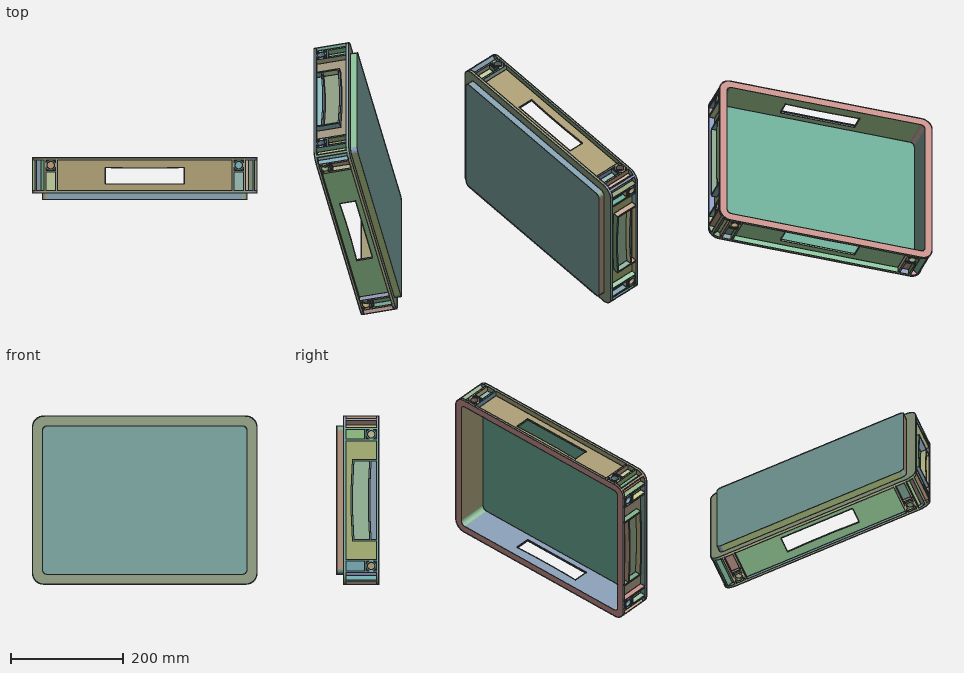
import cadquery as cq
import math

WIDTH = 399.0
HEIGHT = 299.0
BODY_DEPTH = 63.0
FOOT_DEPTH = 12.0
CORNER_RADIUS = 20.0

FOOT_INSET = 17.5
FOOT_RADIUS = 8.8

RIM_FLANGE = 4.0
FLOOR_FLANGE = 4.8
POCKET_END = BODY_DEPTH - FLOOR_FLANGE

POCKET_DEPTH = 10.5
CORE_RADIUS = 11.5
WALL = 3.0
DIAGONAL_RIB = 4.8

CELL_START = 24.0
CELL_END = 41.0
RIB = 3.0
SOCKET_END = 23.0
SOCKET_RIB = 2.5
SOCKET_BORE = 13.0
SOCKET_OUTER = 19.0

GRIP_LENGTH = 139.5
GRIP_RIM_EDGE = 16.5
GRIP_FLOOR_EDGE = 44.3
GRIP_BOW = 2.6
GRIP_RIB = 2.6
SLOT_RIM_EDGE = 18.0
SLOT_BOW = 1.0
SLOT_FLOOR_EDGE = GRIP_FLOOR_EDGE + GRIP_BOW

OVERLAP = 2.0
CORE_WIDTH = WIDTH - 2 * POCKET_DEPTH
CORE_HEIGHT = HEIGHT - 2 * POCKET_DEPTH


def slab(width, height, radius, start, end):
    """Rounded XZ plate between two distances from the rim (the rim lies at y = 0)."""
    plate = cq.Workplane("XZ").rect(width, height).extrude(end - start)
    return plate.edges("|Y").fillet(radius).translate((0, -start, 0))


def block(x_start, x_end, start, end):
    return (
        cq.Workplane("XY", origin=(0, 0, -OVERLAP))
        .moveTo((x_start + x_end) / 2, (start + end) / 2)
        .rect(x_end - x_start, end - start)
        .extrude(POCKET_DEPTH + OVERLAP)
    )


def bowed_strip(start, end, length, bow_start, bow_end):
    """Strip across the side whose long edges bulge toward the floor."""
    half = length / 2
    outline = cq.Workplane("XY", origin=(0, 0, -OVERLAP)).moveTo(-half, start)
    if bow_start:
        outline = outline.threePointArc((0, start + bow_start), (half, start))
    else:
        outline = outline.lineTo(half, start)
    outline = outline.lineTo(half, end)
    if bow_end:
        outline = outline.threePointArc((0, end + bow_end), (-half, end))
    else:
        outline = outline.lineTo(-half, end)
    return outline.close().extrude(POCKET_DEPTH + OVERLAP)


def end_cells(length):
    """Ribs and screw socket near one end of a side."""
    half = length / 2
    outer_rib = block(half - CELL_START, half - CELL_START + RIB, 0, BODY_DEPTH)
    inner_rib = block(half - CELL_END - RIB, half - CELL_END, 0, BODY_DEPTH)
    divider = block(half - CELL_END, half - CELL_START, SOCKET_END, SOCKET_END + SOCKET_RIB)
    socket = (
        cq.Workplane("XY", origin=(0, 0, -OVERLAP))
        .center(half - (CELL_START + CELL_END) / 2, (RIM_FLANGE + SOCKET_END) / 2)
        .circle(SOCKET_OUTER / 2)
        .circle(SOCKET_BORE / 2)
        .extrude(POCKET_DEPTH + OVERLAP)
    )
    return [outer_rib, inner_rib, divider, socket]


def grip_frame():
    """Bowed frame around the blind grip, with a bowed rib on its rim side."""
    outer = bowed_strip(0, GRIP_FLOOR_EDGE + GRIP_RIB, GRIP_LENGTH + 2 * GRIP_RIB, 0, GRIP_BOW)
    inner = bowed_strip(0, GRIP_FLOOR_EDGE, GRIP_LENGTH, 0, GRIP_BOW)
    rim_rib = bowed_strip(GRIP_RIM_EDGE - GRIP_RIB, GRIP_RIM_EDGE, GRIP_LENGTH, GRIP_BOW, GRIP_BOW)
    return [outer.cut(inner), rim_rib]


def place(feature, turn, wall_distance):
    """Stand a flat side feature on a wall, then turn it about the tray's Y axis."""
    standing = feature.translate((0, 0, wall_distance)).mirror("XZ")
    return standing.rotate((0, 0, 0), (0, 1, 0), turn)


def corner_rib(sign_x, sign_z):
    """Diagonal rib from the wall's corner to the rounded outer corner."""
    center_x = WIDTH / 2 - CORNER_RADIUS
    center_z = HEIGHT / 2 - CORNER_RADIUS
    rib = cq.Workplane("XY").box(
        CORNER_RADIUS, BODY_DEPTH, DIAGONAL_RIB, centered=(False, False, True)
    )
    rib = rib.translate((0, -BODY_DEPTH, 0))
    turn = -math.degrees(math.atan2(sign_z, sign_x))
    rib = rib.rotate((0, 0, 0), (0, 1, 0), turn)
    return rib.translate((sign_x * center_x, 0, sign_z * center_z))


outer_envelope = slab(WIDTH, HEIGHT, CORNER_RADIUS, 0, BODY_DEPTH)
tray = slab(CORE_WIDTH, CORE_HEIGHT, CORE_RADIUS, 0, BODY_DEPTH)
tray = tray.union(slab(WIDTH, HEIGHT, CORNER_RADIUS, 0, RIM_FLANGE))
tray = tray.union(slab(WIDTH, HEIGHT, CORNER_RADIUS, POCKET_END, BODY_DEPTH))
foot = slab(
    WIDTH - 2 * FOOT_INSET, HEIGHT - 2 * FOOT_INSET, FOOT_RADIUS,
    BODY_DEPTH - OVERLAP, BODY_DEPTH + FOOT_DEPTH,
)
tray = tray.union(foot)

sides = [
    (0, WIDTH, CORE_HEIGHT / 2, []),
    (180, WIDTH, CORE_HEIGHT / 2, []),
    (90, HEIGHT, CORE_WIDTH / 2, grip_frame()),
    (-90, HEIGHT, CORE_WIDTH / 2, grip_frame()),
]
for turn, length, wall_distance, extras in sides:
    cells = end_cells(length)
    mirrored_cells = [cell.mirror("YZ") for cell in cells]
    for feature in cells + mirrored_cells + extras:
        tray = tray.union(place(feature, turn, wall_distance).intersect(outer_envelope))

for sign_x in (-1, 1):
    for sign_z in (-1, 1):
        tray = tray.union(corner_rib(sign_x, sign_z).intersect(outer_envelope))

cavity = slab(
    CORE_WIDTH - 2 * WALL, CORE_HEIGHT - 2 * WALL, CORE_RADIUS - WALL,
    -OVERLAP, POCKET_END,
)
tray = tray.cut(cavity)

slot = bowed_strip(SLOT_RIM_EDGE, SLOT_FLOOR_EDGE, GRIP_LENGTH, SLOT_BOW, 0)
for turn in (0, 180):
    tray = tray.cut(place(slot, turn, CORE_HEIGHT / 2 - WALL))

result = tray.translate((0, (BODY_DEPTH + FOOT_DEPTH) / 2, 0))